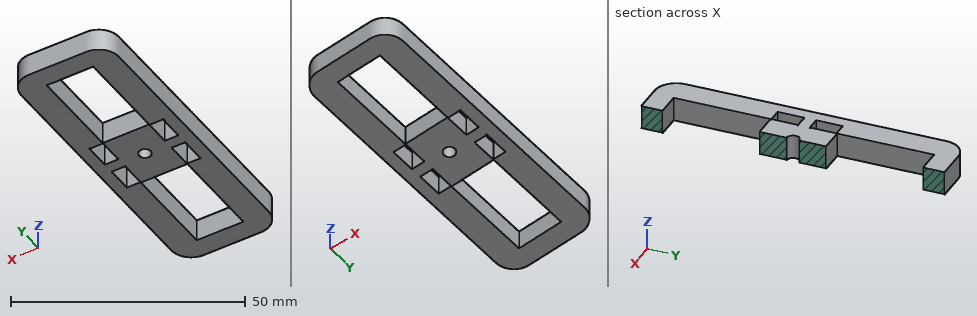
import cadquery as cq

plate_width = 24.5
plate_length = 70.69
plate_thickness = 5.58
corner_radius = 5.0

window_width = 11.7
end_wall = 5.0
bridge_length = 15.5
window_length = (plate_length - bridge_length) / 2 - end_wall
window_center_y = (bridge_length + window_length) / 2

slot_width = 3.4
slot_length = 6.2
slot_web = 2.77
slot_center_x = (window_width + slot_width) / 2
slot_center_y = (slot_web + slot_length) / 2

hole_diameter = 2.9


def make_plate():
    """Flat plate with rounded vertical corners, standing on Z = 0."""
    plate = cq.Workplane("XY").box(
        plate_width, plate_length, plate_thickness, centered=(True, True, False)
    )
    return plate.edges("|Z").fillet(corner_radius)


def cut_windows(body):
    """Cut the two windows that leave the bridge between them."""
    centers = [(0, side * window_center_y) for side in (-1, 1)]
    windows = (
        cq.Workplane("XY")
        .pushPoints(centers)
        .rect(window_width, window_length)
        .extrude(plate_thickness)
    )
    return body.cut(windows)


def cut_slots(body):
    """Cut the four slots beside the bridge, mirrored about X and Y."""
    centers = [
        (side_x * slot_center_x, side_y * slot_center_y)
        for side_x in (-1, 1)
        for side_y in (-1, 1)
    ]
    slots = (
        cq.Workplane("XY")
        .pushPoints(centers)
        .rect(slot_width, slot_length)
        .extrude(plate_thickness)
    )
    return body.cut(slots)


def cut_center_hole(body):
    """Drill the through hole in the middle of the bridge."""
    return body.cut(cq.Workplane("XY").circle(hole_diameter / 2).extrude(plate_thickness))


result = make_plate()
result = cut_windows(result)
result = cut_slots(result)
result = cut_center_hole(result)